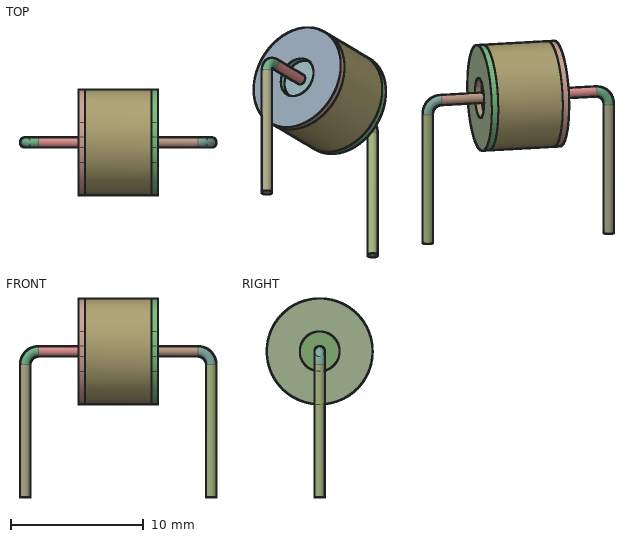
import cadquery as cq

tube_diameter = 8.0
tube_length = 5.0
capped_length = 6.0
cap_bore_diameter = 3.0
wire_diameter = 0.8
overall_width = 14.8
overall_height = 15.0
bend_radius = 1.0

tube_end_x = tube_length / 2
cap_thickness = (capped_length - tube_length) / 2
leg_x = (overall_width - wire_diameter) / 2
leg_end_z = tube_diameter / 2 - overall_height


def plane_at_tube_end(side):
    """YZ workplane on one end face of the tube; side is -1 or +1 along X."""
    return cq.Workplane("YZ").workplane(offset=side * tube_end_x)


def make_tube():
    """Plain cylinder between the two caps; its end faces close the cap bores."""
    return plane_at_tube_end(-1).circle(tube_diameter / 2).extrude(tube_length)


def make_cap(side):
    """Ring on one end of the tube, with a wide bore around the lead."""
    return (
        plane_at_tube_end(side)
        .circle(tube_diameter / 2)
        .circle(cap_bore_diameter / 2)
        .extrude(side * cap_thickness)
    )


def make_lead(side):
    """Wire that leaves the tube end along X and bends down into a straight leg."""
    centreline = (
        cq.Workplane("XZ")
        .moveTo(side * tube_end_x, 0)
        .lineTo(side * (leg_x - bend_radius), 0)
        .tangentArcPoint((side * leg_x, -bend_radius), relative=False)
        .lineTo(side * leg_x, leg_end_z)
    )
    return plane_at_tube_end(side).circle(wire_diameter / 2).sweep(centreline)


sides = (-1, 1)
tube = make_tube()
caps = [make_cap(side) for side in sides]
leads = [make_lead(side) for side in sides]

result = cq.Compound.makeCompound(
    [
        tube.val(),
        *[cap.val() for cap in caps],
        *[lead.val() for lead in leads],
    ]
)